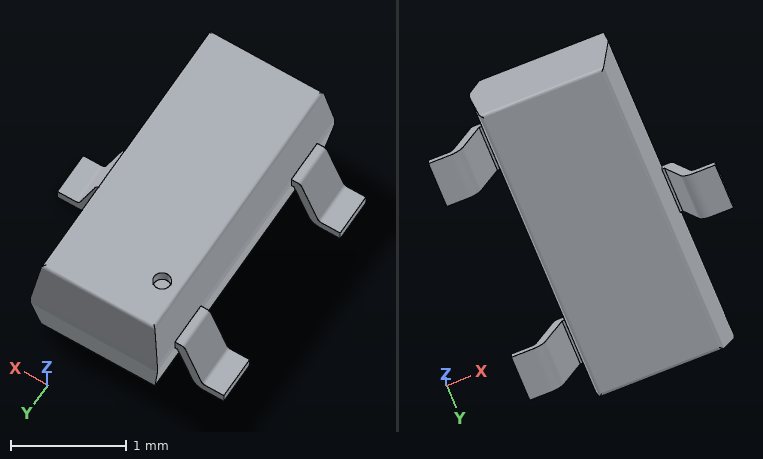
import cadquery as cq
import math

body_length = 2.9
body_width = 1.3
lead_span = 2.3
total_height = 1.1

standoff = 0.05
lead_thickness = 0.105
band_top = 0.583
band_bottom = band_top - lead_thickness
taper_inset = 0.07
edge_radius = 0.032

lead_width = 0.423
lead_pitch = 1.902
foot_length = 0.22
leg_angle = 69.0
bend_radius = 0.05
heel_radius = 0.133

mark_diameter = 0.162
mark_depth = 0.115
mark_inset = 0.265


def tapered_block(wide_z, narrow_z):
    """Block that shrinks evenly on all four sides from wide_z to narrow_z."""
    return (
        cq.Workplane("XY", origin=(0, 0, wide_z))
        .rect(body_width, body_length)
        .workplane(offset=narrow_z - wide_z)
        .rect(body_width - 2 * taper_inset, body_length - 2 * taper_inset)
        .loft(combine=True)
    )


def make_housing():
    """Tapered package with a straight middle band, rounded rims and a pin 1 mark."""
    band = (
        cq.Workplane("XY", origin=(0, 0, band_bottom))
        .rect(body_width, body_length)
        .extrude(lead_thickness)
    )
    upper = tapered_block(band_top, total_height).faces(">Z").edges().fillet(edge_radius)
    lower = tapered_block(band_bottom, standoff).faces("<Z").edges().fillet(edge_radius)
    mark = (
        cq.Workplane("XY", origin=(mark_inset - body_width / 2, lead_pitch / 2, total_height))
        .circle(mark_diameter / 2)
        .extrude(-mark_depth)
    )
    return band.union(upper).union(lower).cut(mark)


def make_lead(center_y):
    """Gull-wing lead on the -X side, from its foot up to the housing wall."""
    slope = math.tan(math.radians(leg_angle))
    leg_thickness_in_x = lead_thickness / math.sin(math.radians(leg_angle))
    toe_x = -lead_span / 2
    wall_x = -body_width / 2
    instep_x = toe_x + foot_length
    shoulder_x = instep_x + (band_top - lead_thickness) / slope
    heel_x = instep_x + leg_thickness_in_x - lead_thickness / slope
    underarm_x = instep_x + leg_thickness_in_x + (band_bottom - lead_thickness) / slope

    lead = (
        cq.Workplane("XZ", origin=(0, center_y + lead_width / 2, 0))
        .moveTo(toe_x, 0)
        .lineTo(heel_x, 0)
        .lineTo(underarm_x, band_bottom)
        .lineTo(wall_x, band_bottom)
        .lineTo(wall_x, band_top)
        .lineTo(shoulder_x, band_top)
        .lineTo(instep_x, lead_thickness)
        .lineTo(toe_x, lead_thickness)
        .close()
        .extrude(lead_width)
    )

    def bend_edge(x, z):
        return cq.selectors.NearestToPointSelector((x, center_y, z))

    lead = lead.edges(bend_edge(instep_x, lead_thickness)).fillet(bend_radius)
    lead = lead.edges(bend_edge(shoulder_x, band_top)).fillet(bend_radius)
    return lead.edges(bend_edge(heel_x, 0)).fillet(heel_radius)


housing = make_housing()
left_leads = [make_lead(side * lead_pitch / 2) for side in (-1, 1)]
right_lead = make_lead(0).rotate((0, 0, 0), (0, 0, 1), 180)
leads = [*left_leads, right_lead]

result = cq.Compound.makeCompound([housing.val(), *[lead.val() for lead in leads]])